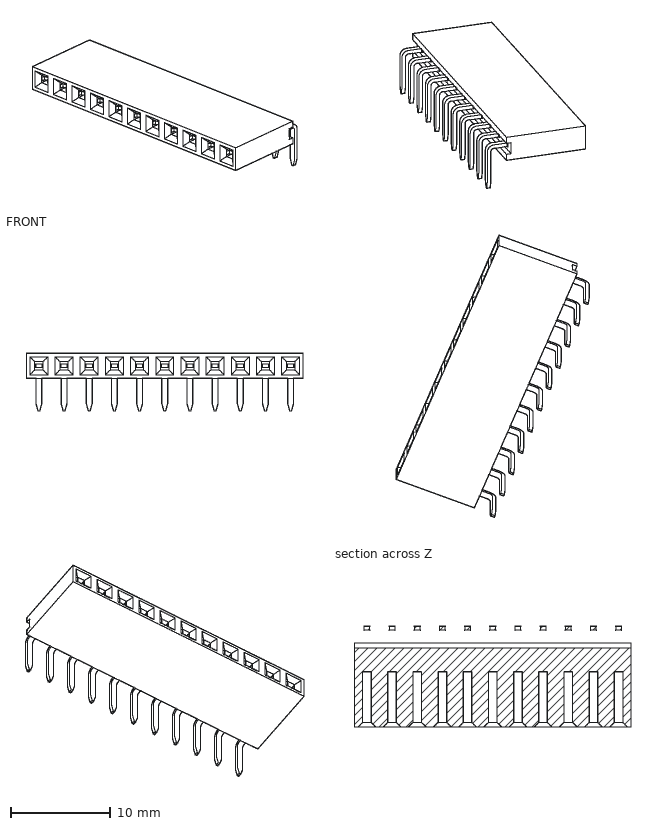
import cadquery as cq


housing_length = 27.95
housing_depth = 8.5
housing_height = 2.55
contact_count = 11
pitch = housing_length / contact_count

channel_depth = 0.5
channel_height = 1.2
channel_floor = housing_depth - channel_depth

mouth_size = 1.82
throat_size = 0.85
funnel_depth = 0.47
socket_depth = 5.6

strip_thickness = 0.4
contact_width = 0.78
contact_recess = 0.47
contact_protrusion = 0.08
fork_depth = 0.34
fork_root_width = 0.61
fork_root_radius = 0.45
contact_back = channel_floor + contact_protrusion

total_depth = 10.2
total_height = 5.85
tail_width = 0.61
bend_inner_radius = 0.3
bend_outer_radius = bend_inner_radius + strip_thickness
taper_length = 0.75
point_width = 0.2
strip_top = strip_thickness / 2
tail_bottom = housing_height / 2 - total_height


def make_housing():
    """Plain block with the channel cut along its back."""
    block = cq.Workplane("XY").box(
        housing_length, housing_depth, housing_height, centered=(True, False, True)
    )
    channel = (
        cq.Workplane("XY", origin=(0, channel_floor, 0))
        .box(housing_length, channel_depth, channel_height, centered=(True, False, True))
    )
    return block.cut(channel)


def make_socket():
    """Space of one socket: a square funnel leading into a straight square hole."""
    funnel = (
        cq.Workplane("XZ")
        .rect(mouth_size, mouth_size)
        .workplane(offset=-funnel_depth)
        .rect(throat_size, throat_size)
        .loft(ruled=True)
    )
    hole = cq.Workplane("XZ").rect(throat_size, throat_size).extrude(-socket_depth)
    return funnel.union(hole)


def make_contact():
    """Flat contact with a flared fork at its front and a hollow round root."""
    half_width = contact_width / 2
    half_root = fork_root_width / 2
    fork_root = contact_recess + fork_depth
    return (
        cq.Workplane("XY")
        .moveTo(-half_width, contact_recess)
        .lineTo(-half_root, fork_root)
        .radiusArc((half_root, fork_root), fork_root_radius)
        .lineTo(half_width, contact_recess)
        .lineTo(half_width, contact_back)
        .lineTo(-half_width, contact_back)
        .close()
        .extrude(strip_thickness / 2, both=True)
    )


def make_tail():
    """Strip that leaves the contact, bends down and narrows to a blunt point."""
    tail_front = total_depth - strip_thickness
    bend_start = total_depth - bend_outer_radius
    bend_end = strip_top - bend_outer_radius
    bent_strip = (
        cq.Workplane("YZ")
        .moveTo(contact_back, strip_top)
        .lineTo(bend_start, strip_top)
        .radiusArc((total_depth, bend_end), bend_outer_radius)
        .lineTo(total_depth, tail_bottom)
        .lineTo(tail_front, tail_bottom)
        .lineTo(tail_front, bend_end)
        .radiusArc((bend_start, -strip_top), -bend_inner_radius)
        .lineTo(contact_back, -strip_top)
        .close()
        .extrude(tail_width / 2, both=True)
    )

    taper_start = tail_bottom + taper_length
    tapered_outline = (
        cq.Workplane("XZ")
        .moveTo(-tail_width / 2, strip_top)
        .lineTo(-tail_width / 2, taper_start)
        .lineTo(-point_width / 2, tail_bottom)
        .lineTo(point_width / 2, tail_bottom)
        .lineTo(tail_width / 2, taper_start)
        .lineTo(tail_width / 2, strip_top)
        .close()
        .extrude(-total_depth)
    )
    return bent_strip.intersect(tapered_outline)


def repeat_along_row(shape):
    """Copies a shape to every contact position."""
    return (
        cq.Workplane("XY")
        .rarray(pitch, 0.28, contact_count, 1)
        .eachpoint(lambda place: shape.val().moved(place), combine=False)
    )


sockets = repeat_along_row(make_socket())
pins = repeat_along_row(make_contact().union(make_tail()))
result = make_housing().cut(sockets).union(pins)